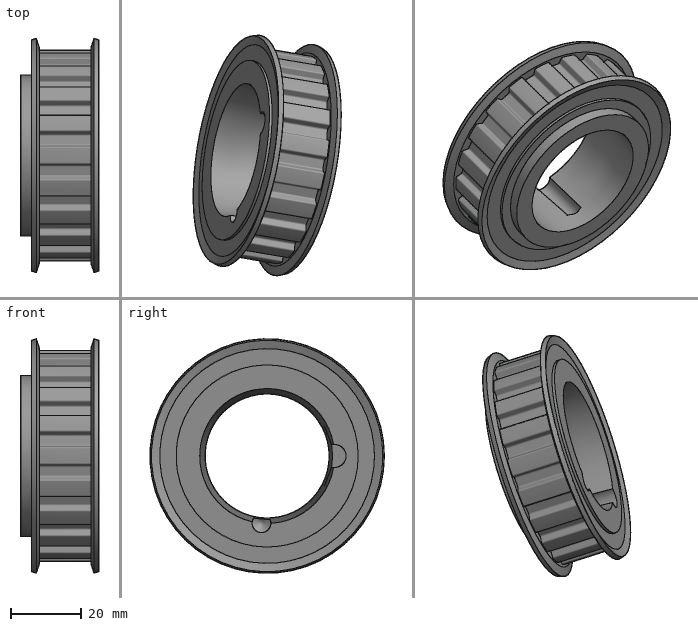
import cadquery as cq
import math


hub_length = 3.1
rim_length = 19.2
tooth_length = 14.7
shoulder_length = (rim_length - tooth_length) / 2
tooth_start = hub_length + shoulder_length
tooth_end = tooth_start + tooth_length
total_length = hub_length + rim_length

hub_radius = 22.95
shoulder_radius = 25.9
tip_radius = 30.0

tooth_count = 20
tooth_pitch_angle = 360 / tooth_count
groove_depth = 2.1
groove_bottom_width = 3.1
groove_flank_angle = 20
groove_root_fillet = 0.55
groove_tip_fillet = 0.5

bore_radius = 17.6
bore_taper_angle = 4
bore_end_radius = bore_radius + total_length * math.tan(math.radians(bore_taper_angle))

recess_radius = 3.3
flat_recess_start = 13.55
pointed_recess_start = 6.3
pointed_recess_radius = 2.7
drill_point_angle = 120
pointed_recess_turn = 4.8

flange_radius = 33.35
flange_bend_radius = 30.75
flange_thickness = 1.5
flange_cone_length = 0.9


def revolve_about_x(outline):
    """Turn a closed (x, radius) outline around the X axis."""
    return cq.Workplane("XY").polyline(outline).close().revolve(360, (0, 0, 0), (1, 0, 0))


def make_groove_cutter():
    """One belt groove, at the +Y side, with rounded root corners."""
    overshoot = 0.7
    root = tip_radius - groove_depth
    mouth = tip_radius + overshoot
    half_bottom = groove_bottom_width / 2
    half_mouth = half_bottom + (mouth - root) * math.tan(math.radians(groove_flank_angle))
    outline = [(root, -half_bottom), (mouth, -half_mouth), (mouth, half_mouth), (root, half_bottom)]
    return (
        cq.Workplane("YZ", origin=(tooth_start, 0, 0))
        .polyline(outline)
        .close()
        .extrude(tooth_length)
        .edges("|X and <Y")
        .fillet(groove_root_fillet)
    )


def make_toothed_rim():
    """Rim between the flanges, one tooth centred on each of the Y and Z axes."""
    rim = cq.Workplane("YZ", origin=(tooth_start, 0, 0)).circle(tip_radius).extrude(tooth_length)
    groove = make_groove_cutter()
    for index in range(tooth_count):
        rim = rim.cut(groove.rotate((0, 0, 0), (1, 0, 0), (index + 0.5) * tooth_pitch_angle))
    tip_edges = [
        edge for edge in rim.edges("|X").vals()
        if math.hypot(edge.Center().y, edge.Center().z) > tip_radius - groove_depth / 2
    ]
    return rim.newObject(tip_edges).fillet(groove_tip_fillet)


def make_bore():
    """Solid cone filling the tapered bore."""
    return revolve_about_x(
        [(0, 0), (total_length, 0), (total_length, bore_end_radius), (0, bore_radius)]
    )


def make_flat_recess():
    """Flat-ended half round recess on the +Y side of the bore."""
    return (
        cq.Workplane("YZ", origin=(flat_recess_start, bore_end_radius, 0))
        .circle(recess_radius)
        .extrude(total_length - flat_recess_start)
    )


def make_pointed_recess():
    """Half round recess with a drill point, near the -Z side of the bore."""
    point_length = pointed_recess_radius / math.tan(math.radians(drill_point_angle / 2))
    drill = revolve_about_x([
        (pointed_recess_start - point_length, 0),
        (pointed_recess_start, pointed_recess_radius),
        (total_length, pointed_recess_radius),
        (total_length, 0),
    ])
    drill = drill.translate((0, 0, -bore_end_radius))
    return drill.rotate((0, 0, 0), (1, 0, 0), -pointed_recess_turn)


def make_pulley():
    """Hub, shoulders and toothed rim in one piece, with the bore and its recesses."""
    hub = cq.Workplane("YZ").circle(hub_radius).extrude(hub_length)
    shoulders = cq.Workplane("YZ", origin=(hub_length, 0, 0)).circle(shoulder_radius).extrude(rim_length)
    body = make_toothed_rim().union(shoulders).union(hub)
    return body.cut(make_bore()).cut(make_flat_recess()).cut(make_pointed_recess())


def make_flange(inner_face, outward):
    """Sheet ring whose outer edge is bent outward; outward is -1 towards -X, +1 towards +X."""
    slope = math.atan2(flange_cone_length, flange_radius - flange_bend_radius)
    bend_shift = flange_thickness * math.tan(slope / 2)
    rim_depth = flange_thickness * math.cos(slope)
    rim_drop = flange_thickness * math.sin(slope)
    profile = [
        (0, shoulder_radius),
        (0, flange_bend_radius),
        (flange_cone_length, flange_radius),
        (flange_cone_length + rim_depth, flange_radius - rim_drop),
        (flange_thickness, flange_bend_radius - bend_shift),
        (flange_thickness, shoulder_radius),
    ]
    return revolve_about_x([(inner_face + outward * depth, radius) for depth, radius in profile])


pulley = make_pulley()
front_flange = make_flange(tooth_start, -1)
rear_flange = make_flange(tooth_end, 1)

result = cq.Compound.makeCompound([pulley.val(), front_flange.val(), rear_flange.val()])